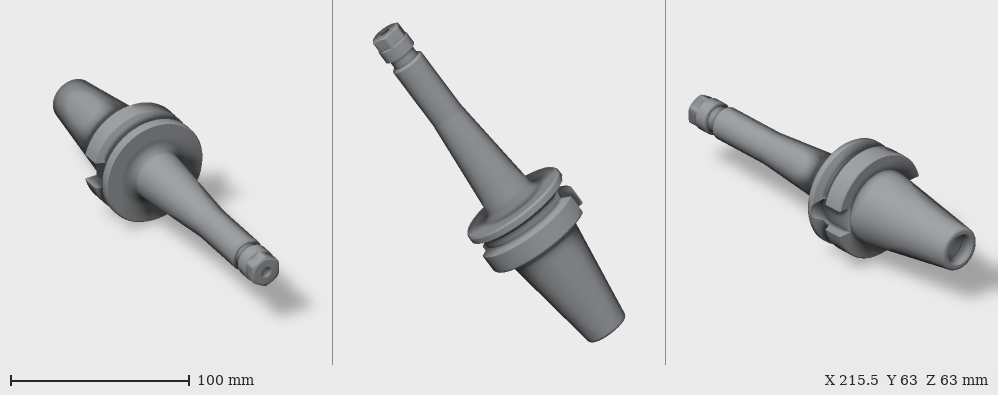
import cadquery as cq
import math


taper_ratio = 7 / 24
gauge_diameter = 44.4
gauge_x = 65.5
small_end_diameter = gauge_diameter - taper_ratio * gauge_x
end_rounding = 2.0

flange_diameter = 63.0
flange_start = 66.3
flange_end = 92.5
flange_front_chamfer_length = 0.9
flange_back_chamfer_length = 1.3
flange_back_chamfer_depth = 0.9
flange_front_chamfer_depth = 0.6
groove_center = 83.0
groove_top_width = 9.7
groove_bottom_width = 4.5
groove_bottom_diameter = 53.0

slot_width = 16.2
slot_floor = 22.6
slot_end = 88.7

arm_diameter = 19.5
arm_root_diameter = 29.7
arm_root_x = 97
arm_cone_end = 155
arm_end = 194.7
arm_chamfer = 1.3
neck_diameter = 15.5

counterbore_diameter = 17.0
counterbore_depth = 7.8
mouth_diameter = 19.0
thread_bore_diameter = 13.8
thread_bore_end = 30.0
thread_bore_chamfer = 1.0
through_diameter = 6.7
drill_point_half_angle = 59

nut_start = 200.0
nut_end = 215.5
nut_diameter = 19.4
nut_back_chamfer_length = 0.5
nut_back_chamfer_depth = 0.9
hex_sides = 6
hex_start = 207.6
hex_corner_rounding = 2.2
hex_across_flats = 17.0
shoulder_length = 0.6
nut_face_diameter = 15.5
nut_front_chamfer_length = 1.0


def revolve_about_x(workplane):
    """Close an (x, radius) outline and turn it about the X axis."""
    return workplane.close().revolve(360, (0, 0, 0), (1, 0, 0))


def holder_blank():
    flange_radius = flange_diameter / 2
    groove_radius = groove_bottom_diameter / 2
    gauge_radius = gauge_diameter / 2
    arm_radius = arm_diameter / 2
    arm_root_radius = arm_root_diameter / 2

    cone_angle = math.atan((arm_root_radius - arm_radius) / (arm_cone_end - arm_root_x))
    fillet_radius = (arm_root_x - flange_end) / (1 - math.sin(cone_angle))
    fillet_center_x = flange_end + fillet_radius
    fillet_center_r = arm_root_radius + fillet_radius * math.cos(cone_angle)
    face_angle = math.pi
    cone_side_angle = 3 * math.pi / 2 - cone_angle
    middle_angle = (face_angle + cone_side_angle) / 2
    fillet_middle = (
        fillet_center_x + fillet_radius * math.cos(middle_angle),
        fillet_center_r + fillet_radius * math.sin(middle_angle),
    )

    blank = revolve_about_x(
        cq.Workplane("XY")
        .moveTo(0, 0)
        .lineTo(0, small_end_diameter / 2)
        .lineTo(gauge_x, gauge_radius)
        .lineTo(flange_start, gauge_radius)
        .lineTo(flange_start, flange_radius - flange_front_chamfer_depth)
        .lineTo(flange_start + flange_front_chamfer_length, flange_radius)
        .lineTo(groove_center - groove_top_width / 2, flange_radius)
        .lineTo(groove_center - groove_bottom_width / 2, groove_radius)
        .lineTo(groove_center + groove_bottom_width / 2, groove_radius)
        .lineTo(groove_center + groove_top_width / 2, flange_radius)
        .lineTo(flange_end - flange_back_chamfer_length, flange_radius)
        .lineTo(flange_end, flange_radius - flange_back_chamfer_depth)
        .lineTo(flange_end, fillet_center_r)
        .threePointArc(fillet_middle, (arm_root_x, arm_root_radius))
        .lineTo(arm_cone_end, arm_radius)
        .lineTo(arm_end - arm_chamfer, arm_radius)
        .lineTo(arm_end, arm_radius - arm_chamfer)
        .lineTo(arm_end, neck_diameter / 2)
        .lineTo(nut_start, neck_diameter / 2)
        .lineTo(nut_start, 0)
    )
    return blank.faces("<X").edges().fillet(end_rounding)


def holder_bore():
    through_radius = through_diameter / 2
    thread_radius = thread_bore_diameter / 2
    counterbore_radius = counterbore_diameter / 2
    mouth_chamfer = (mouth_diameter - counterbore_diameter) / 2
    drill_point_length = (thread_radius - through_radius) / math.tan(math.radians(drill_point_half_angle))
    return revolve_about_x(
        cq.Workplane("XY")
        .moveTo(0, 0)
        .lineTo(0, mouth_diameter / 2)
        .lineTo(mouth_chamfer, counterbore_radius)
        .lineTo(counterbore_depth, counterbore_radius)
        .lineTo(counterbore_depth, thread_radius + thread_bore_chamfer)
        .lineTo(counterbore_depth + thread_bore_chamfer, thread_radius)
        .lineTo(thread_bore_end, thread_radius)
        .lineTo(thread_bore_end + drill_point_length, through_radius)
        .lineTo(nut_start, through_radius)
        .lineTo(nut_start, 0)
    )


def drive_slot(side):
    """Round-ended slot cutter on the +Y (side = 1) or -Y (side = -1) flank of the flange."""
    end_center = slot_end - slot_width / 2
    outer_y = flange_diameter / 2
    depth = outer_y - slot_floor
    middle_y = side * (slot_floor + depth / 2)
    straight = cq.Workplane("XY").box(end_center - gauge_x, depth, slot_width)
    straight = straight.translate(((gauge_x + end_center) / 2, middle_y, 0))
    rounded = cq.Workplane("XZ").circle(slot_width / 2).extrude(depth / 2, both=True)
    return straight.union(rounded.translate((end_center, middle_y, 0)))


def make_holder():
    holder = holder_blank().cut(holder_bore())
    for side in (1, -1):
        holder = holder.cut(drive_slot(side))
    return holder


def nut_envelope():
    """Turned outside of the nut, before the flats."""
    radius = nut_diameter / 2
    return revolve_about_x(
        cq.Workplane("XY")
        .moveTo(nut_start, 0)
        .lineTo(nut_start, radius - nut_back_chamfer_depth)
        .lineTo(nut_start + nut_back_chamfer_length, radius)
        .lineTo(nut_end - nut_front_chamfer_length, radius)
        .lineTo(nut_end, nut_face_diameter / 2)
        .lineTo(nut_end, 0)
    )


def nut_collar():
    """Round rear part of the nut with the conical shoulder behind the flats."""
    return revolve_about_x(
        cq.Workplane("XY")
        .moveTo(nut_start, 0)
        .lineTo(nut_start, nut_diameter / 2)
        .lineTo(hex_start, nut_diameter / 2)
        .lineTo(hex_start + shoulder_length, hex_across_flats / 2)
        .lineTo(hex_start + shoulder_length, 0)
    )


def nut_hexagon():
    """Hexagon with rounded corners, turned so that two corners lie above and below the axis."""
    length = nut_end - hex_start
    corner_diameter = hex_across_flats / math.cos(math.pi / hex_sides)
    return (
        cq.Workplane("YZ", origin=(hex_start, 0, 0))
        .transformed(rotate=(0, 0, 90))
        .polygon(hex_sides, corner_diameter)
        .extrude(length)
        .edges("|X")
        .fillet(hex_corner_rounding)
    )


def make_nut():
    through_hole = (
        cq.Workplane("YZ", origin=(nut_start, 0, 0))
        .circle(through_diameter / 2)
        .extrude(nut_end - nut_start)
    )
    return nut_collar().union(nut_hexagon()).intersect(nut_envelope()).cut(through_hole)


holder = make_holder()
nut = make_nut()

result = cq.Compound.makeCompound([holder.val(), nut.val()])